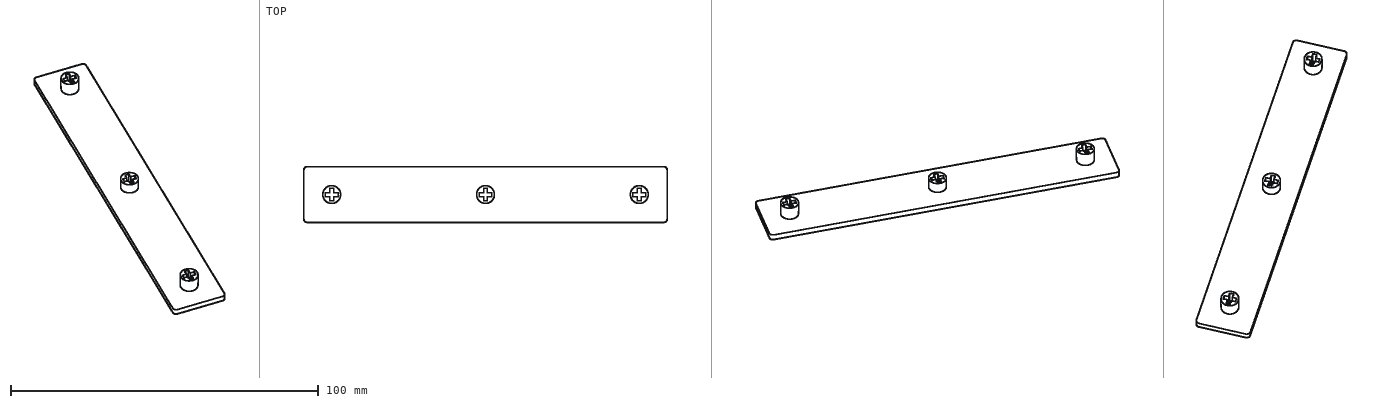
import cadquery as cq

plate_length = 118.2
plate_width = 18.2
plate_thickness = 2.0
corner_radius = 1.2

total_height = 6.6
pin_pitch = 50.0
pin_diameter = 5.8
end_pin_height = total_height - plate_thickness
middle_pin_drop = 1.0
middle_pin_height = end_pin_height - middle_pin_drop

cross_span = 4.1
cross_arm_width = 1.3


def make_plate():
    """Flat rectangular plate with rounded vertical corners, resting on Z = 0."""
    plate = cq.Workplane("XY").box(
        plate_length, plate_width, plate_thickness, centered=(True, True, False)
    )
    return plate.edges("|Z").fillet(corner_radius)


def make_pin(x, height):
    """Round pin with a cross socket that ends at the plate's top face."""
    base = cq.Workplane("XY", origin=(x, 0, plate_thickness))
    pin = base.circle(pin_diameter / 2).extrude(height)
    arm_along_x = base.rect(cross_span, cross_arm_width).extrude(height)
    arm_along_y = base.rect(cross_arm_width, cross_span).extrude(height)
    return pin.cut(arm_along_x).cut(arm_along_y)


result = make_plate()
for x, height in (
    (-pin_pitch, end_pin_height),
    (0, middle_pin_height),
    (pin_pitch, end_pin_height),
):
    result = result.union(make_pin(x, height))